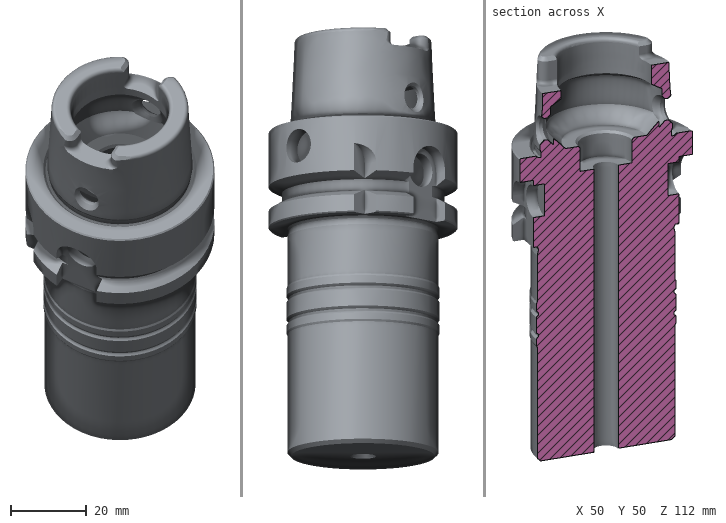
import cadquery as cq
import math

total_height = 112.0
taper_length = 25.0
flange_length = 26.0
flange_top = total_height - taper_length
flange_bottom = flange_top - flange_length

shank_radius = 40.0 / 2
band_radius = 40.5 / 2
relief_radius = 39.3 / 2
bottom_chamfer = 1.0
band_low = 32.6
band_high = 45.5
band_slope = 0.6
relief_low = flange_bottom - 2.4
relief_floor_low = flange_bottom - 1.0
relief_floor_high = flange_bottom - 0.7
ring_groove_width = 1.8
ring_groove_heights = (35.0, 41.1)

flange_radius = 50.0 / 2
flange_edge = 0.3
gripper_radius = 43.0 / 2
gripper_low = 65.7
gripper_ledge_radius = 44.8 / 2
gripper_ledge = 67.2
gripper_floor_low = 67.5
gripper_floor_high = 70.5
gripper_high = 72.2
recess_outer_radius = 40.5 / 2
recess_inner_radius = 39.3 / 2
recess_depth = 0.6

taper_base_radius = 38.4 / 2
taper_base = flange_top + 1.6
taper_slope = 1 / 20
neck_radius = 37.9 / 2
neck_top = flange_top + 0.9
tip_rounding = 1.0

mouth_radius = 28.2 / 2
bore_radius = 26.0 / 2
undercut_radius = 32.0 / 2
seat_radius = 23.5 / 2
pocket_rim_radius = 16.1 / 2
pocket_radius = 14.9 / 2
through_radius = 6.8 / 2
bore_end = 102.0
clamp_face_angle = 30
undercut_high = bore_end - (undercut_radius - bore_radius) * math.tan(math.radians(clamp_face_angle))
undercut_low = 92.1
seat_floor = undercut_low - (undercut_radius - seat_radius)
pocket_floor = 80.6
pocket_chamfer = pocket_rim_radius - pocket_radius

drive_width = 10.5
front_drive_depth = 4.5
back_drive_depth = 7.5
drive_floor_fillet = 1.1
drive_corner_radius = 2.2
drive_edge_chamfer = 1.0
drive_inner_end = 6.7
drive_outer_end = 24.6
drive_flare = 5.6

cross_hole_height = 94.2
cross_hole_radius = 6.0 / 2
cross_sink_radius = 8.0 / 2
cross_sink_reach = 0.7

keyway_width = 12.0
keyway_floor = 21.0
keyway_height = 74.1
keyway_hole_radius = 9.0 / 2
keyway_hole_depth = 3.1
chip_hole_radius = 9.0 / 2
chip_hole_height = 80.1
chip_hole_floor = 20.4
notch_radius = 10.0 / 2
notch_wall = 15.5
notch_height = 74.6

clearance = 5.6


def taper_radius(height):
    return taper_base_radius - (height - taper_base) * taper_slope


def revolve(outline):
    return outline.close().revolve(360, (0, 0, 0), (0, 1, 0))


def axial_outline(points):
    return cq.Workplane("XZ").polyline(points)


def rounded_point(center, radius, angle):
    """Point at the given angle in degrees on a circle."""
    turn = math.radians(angle)
    return (center[0] + radius * math.cos(turn), center[1] + radius * math.sin(turn))


def body():
    tip_edge = total_height - tip_rounding
    tip_center = (taper_radius(tip_edge) - tip_rounding, tip_edge)
    shank = [
        (0, 0),
        (shank_radius - bottom_chamfer, 0),
        (shank_radius, bottom_chamfer),
        (shank_radius, band_low),
        (band_radius, band_low + band_slope),
        (band_radius, band_high - band_slope),
        (shank_radius, band_high),
        (shank_radius, relief_low),
        (relief_radius, relief_floor_low),
        (relief_radius, relief_floor_high),
        (shank_radius, flange_bottom),
    ]
    flange = [
        (flange_radius - flange_edge, flange_bottom),
        (flange_radius, flange_bottom + flange_edge),
        (flange_radius, gripper_low),
        (gripper_ledge_radius, gripper_ledge),
        (gripper_radius, gripper_floor_low),
        (gripper_radius, gripper_floor_high),
        (flange_radius, gripper_high),
        (flange_radius, flange_top - flange_edge),
        (flange_radius - flange_edge, flange_top),
        (recess_outer_radius, flange_top),
        (recess_inner_radius, flange_top - recess_depth),
    ]
    taper = [
        (neck_radius, flange_top - recess_depth),
        (neck_radius, neck_top),
        (taper_base_radius, taper_base),
        (taper_radius(tip_edge), tip_edge),
    ]
    return revolve(
        axial_outline(shank + flange + taper)
        .threePointArc(
            rounded_point(tip_center, tip_rounding, 45),
            rounded_point(tip_center, tip_rounding, 90),
        )
        .lineTo(0, total_height)
    )


def bores():
    mouth_rounding = mouth_radius - bore_radius
    mouth_center = (mouth_radius, total_height - mouth_rounding)
    outline = axial_outline([
        (0, 0),
        (through_radius, 0),
        (through_radius, pocket_floor),
        (pocket_radius, pocket_floor),
        (pocket_radius, seat_floor - pocket_chamfer),
        (pocket_rim_radius, seat_floor),
        (seat_radius, seat_floor),
        (undercut_radius, undercut_low),
        (undercut_radius, undercut_high),
        (bore_radius, bore_end),
        (bore_radius, total_height - mouth_rounding),
    ])
    return revolve(
        outline
        .threePointArc(
            rounded_point(mouth_center, mouth_rounding, 135),
            rounded_point(mouth_center, mouth_rounding, 90),
        )
        .lineTo(0, total_height)
    )


def ring_groove(low):
    high = low + ring_groove_width
    depth = band_radius - relief_radius
    return revolve(axial_outline([
        (band_radius, low),
        (relief_radius, low + depth),
        (relief_radius, high - depth),
        (band_radius, high),
    ]))


def drive_slot_outline(height, outer_radius):
    """Slot opening toward +Y whose walls round over into a circle of the outer radius."""
    half = drive_width / 2
    corner_x = half + drive_corner_radius
    corner_y = math.sqrt((outer_radius - drive_corner_radius) ** 2 - corner_x**2)
    corner = (corner_x, corner_y)
    end_angle = math.degrees(math.atan2(corner_y, corner_x))
    middle = rounded_point(corner, drive_corner_radius, (end_angle + 180) / 2)
    end = rounded_point(corner, drive_corner_radius, end_angle)
    flare = rounded_point(end, drive_flare, end_angle - 90)

    def mirrored(point):
        return (-point[0], point[1])

    return (
        cq.Workplane("XY", origin=(0, 0, height))
        .moveTo(half, drive_inner_end)
        .lineTo(half, corner_y)
        .threePointArc(middle, end)
        .lineTo(*flare)
        .lineTo(flare[0], drive_outer_end)
        .lineTo(-flare[0], drive_outer_end)
        .lineTo(*mirrored(flare))
        .lineTo(*mirrored(end))
        .threePointArc(mirrored(middle), (-half, corner_y))
        .lineTo(-half, drive_inner_end)
        .close()
    )


def drive_slot(depth):
    floor = total_height - depth
    bevel_start = total_height - drive_edge_chamfer
    outer_radius = taper_radius(floor)
    slot = drive_slot_outline(floor, outer_radius).extrude(depth)
    slot = slot.faces("<Z").edges().fillet(drive_floor_fillet)
    edge_bevel = drive_slot_outline(bevel_start, outer_radius).extrude(drive_edge_chamfer, taper=-45)
    return slot.union(edge_bevel)


def cross_hole():
    """Hole toward +Y, countersunk at the outside of the taper and at the undercut wall."""
    surface = taper_radius(cross_hole_height)
    sink_depth = cross_sink_radius - cross_hole_radius
    wide_radius = cross_sink_radius + cross_sink_reach
    inside = undercut_radius - cross_sink_reach
    outside = surface + cross_sink_reach
    return (
        cq.Workplane("XY", origin=(0, 0, cross_hole_height))
        .polyline([
            (0, inside),
            (wide_radius, inside),
            (cross_hole_radius, undercut_radius + sink_depth),
            (cross_hole_radius, surface - sink_depth),
            (wide_radius, outside),
            (0, outside),
        ])
        .close()
        .revolve(360, (0, 0, 0), (0, 1, 0))
    )


def keyway():
    """Round-topped keyway on the +Y side, open at the bottom of the flange, with a blind hole."""
    reach = -(flange_radius - keyway_floor + clearance)
    tail_length = keyway_height - flange_bottom
    floor = cq.Workplane("XZ", origin=(0, keyway_floor, keyway_height))
    head = floor.circle(keyway_width / 2).extrude(reach)
    tail = floor.center(0, -tail_length / 2).rect(keyway_width, tail_length).extrude(reach)
    hole = floor.circle(keyway_hole_radius).extrude(keyway_hole_depth)
    return head.union(tail).union(hole)


def chip_hole():
    start = cq.Workplane("YZ", origin=(-chip_hole_floor, 0, chip_hole_height))
    return start.circle(chip_hole_radius).extrude(-(flange_radius - chip_hole_floor + clearance))


def orientation_notch():
    """Corner notch at (-X, -Y): flat floor facing -Y, side wall facing -X, rounded top."""
    reach = flange_radius - notch_wall
    tail_length = notch_height - flange_bottom
    floor = cq.Workplane("XZ", origin=(-notch_wall - notch_radius, -notch_wall, notch_height))
    head = floor.circle(notch_radius).extrude(reach)
    tail = floor.center(0, -tail_length / 2).rect(2 * notch_radius, tail_length).extrude(reach)
    return head.union(tail)


def facing_front(cutter):
    return cutter.rotate((0, 0, 0), (0, 0, 1), 180)


result = body().cut(bores())
for groove_height in ring_groove_heights:
    result = result.cut(ring_groove(groove_height))
result = result.cut(drive_slot(back_drive_depth)).cut(facing_front(drive_slot(front_drive_depth)))
for side_cutter in (cross_hole(), keyway()):
    result = result.cut(side_cutter).cut(facing_front(side_cutter))
result = result.cut(chip_hole()).cut(orientation_notch())